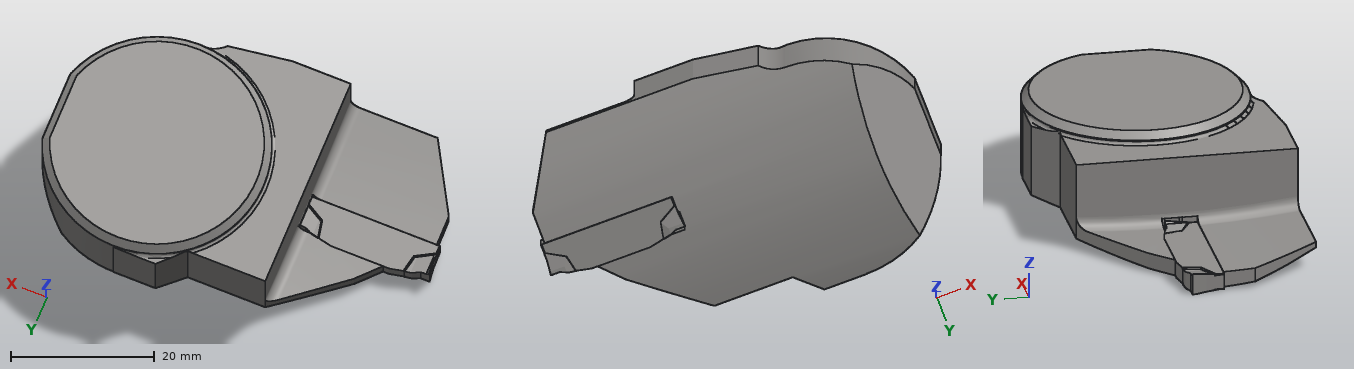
import cadquery as cq
import math


DISC_RADIUS = 16.0
DISC_FLAT_X = 15.15
DISC_CHAMFER = 1.05
DISC_TOP_Z = 13.95
COVE_RADIUS = 0.45

BLOCK_TOP_Z = 12.3
BLOCK_FRONT_X = -21.45
BLOCK_BACK_Y = 12.6
SIDE_Y = -18.8
TAB_Y = 16.05
TAB_START_X = -9.75
SIDE_TAPER_START_X = -12.7
SIDE_TAPER_END = (-3.5, -17.45)
REAR_BEVEL_HEIGHT = 7.6
UNDERSIDE_RADIUS = 67.3

BLADE_THICKNESS = 2.35
BLADE_TOP_RADIUS = 151.45
BLADE_FILLET_RADIUS = 1.55
BLADE_TIP_X = -40.15
BLADE_TIP_CORNER_Y = -9.05
BLADE_SIDE_CORNER_X = -34.5
BLADE_BACK_KINK = (-31.4, 4.45)
BLADE_BACK_END = (-34.4, 1.25)

INSERT_LENGTH = 19.95
INSERT_TIP_X = DISC_FLAT_X - 56.1
INSERT_MID_X = INSERT_TIP_X + INSERT_LENGTH / 2
INSERT_THICKNESS = BLADE_THICKNESS
INSERT_SIDE_Y = -4.55
INSERT_BACK_Y = 1.2
INSERT_BACK_HALF_LENGTH = 4.4
SHOULDER_X = -38.5
SHOULDER_Y = 0.5
NOSE_END_X = -39.6
END_FACE_X = -40.75
END_CHAMFER = 0.14

TIP_FRONT_CORNER_Y = -2.0
TIP_SIDE_CORNER_Y = -3.3
TIP_INNER_CORNER = (-38.0, -1.75)
TIP_BACK_CORNER = (-37.5, 0.75)
TIP_TOP_Z = 2.7
TIP_BOTTOM_Z = -0.35
TIP_FULL_HEIGHT_Y = -0.55
LAND_WIDTH = 0.15
RAKE_START_X = -40.45
RAKE_START_Z = 2.4
RAKE_LOW_X = -38.3
RAKE_LOW_Z = 2.15
RAKE_END_Z = 2.2
RAKE_WALL_ANGLE = 35.0
TIP_BOTTOM_FLAT_X = -38.7
TIP_BOTTOM_END_Z = -0.1

SEAT_TOP_Z = 3.3
SEAT_TIP_DEEP_Y = TIP_FRONT_CORNER_Y
SEAT_TIP_SHALLOW_Y = -2.4

CUT_MARGIN = 2.8


def holder_outline():
    """Plan outline of the block and blade; its closing line lies inside the insert seat."""
    taper_x, taper_y = SIDE_TAPER_END
    drop = -DISC_RADIUS - taper_y
    arc_radius = (taper_x**2 + drop**2) / (2 * drop)
    half_angle = math.asin(-taper_x / arc_radius) / 2
    arc_mid = (
        -arc_radius * math.sin(half_angle),
        -DISC_RADIUS - arc_radius * (1 - math.cos(half_angle)),
    )
    flat_y = math.sqrt(DISC_RADIUS**2 - DISC_FLAT_X**2)
    diagonal = DISC_RADIUS / math.sqrt(2)
    return (
        cq.Workplane("XY")
        .moveTo(BLADE_TIP_X, TIP_FRONT_CORNER_Y)
        .lineTo(BLADE_TIP_X, BLADE_TIP_CORNER_Y)
        .lineTo(BLADE_SIDE_CORNER_X, SIDE_Y)
        .lineTo(SIDE_TAPER_START_X, SIDE_Y)
        .lineTo(taper_x, taper_y)
        .threePointArc(arc_mid, (0, -DISC_RADIUS))
        .threePointArc((diagonal, -diagonal), (DISC_FLAT_X, -flat_y))
        .lineTo(DISC_FLAT_X, flat_y)
        .threePointArc((diagonal, diagonal), (0, DISC_RADIUS))
        .lineTo(0, TAB_Y)
        .lineTo(TAB_START_X + TAB_Y - BLOCK_BACK_Y, TAB_Y)
        .lineTo(TAB_START_X, BLOCK_BACK_Y)
        .lineTo(BLOCK_FRONT_X, BLOCK_BACK_Y)
        .lineTo(*BLADE_BACK_KINK)
        .lineTo(*BLADE_BACK_END)
        .close()
    )


def cylinder_along_x(start_x, end_x, radius, lowest_z):
    """Cylinder parallel to X whose lowest line is at y = 0, z = lowest_z."""
    return (
        cq.Workplane("YZ", origin=(start_x, 0, lowest_z + radius))
        .circle(radius)
        .extrude(end_x - start_x)
    )


def blade_relief():
    """Material removed in front of the block, down to the curved and filleted top of the blade."""
    start_x = INSERT_TIP_X - CUT_MARGIN
    relief = cylinder_along_x(start_x, BLOCK_FRONT_X, BLADE_TOP_RADIUS, BLADE_THICKNESS)
    return relief.faces(">X").edges().fillet(BLADE_FILLET_RADIUS)


def rear_bevel():
    """45 degree bevel under the +X end."""
    return (
        cq.Workplane("XZ", origin=(0, TAB_Y + CUT_MARGIN, 0))
        .moveTo(DISC_FLAT_X - REAR_BEVEL_HEIGHT, 0)
        .lineTo(DISC_FLAT_X, REAR_BEVEL_HEIGHT)
        .lineTo(DISC_FLAT_X, 0)
        .close()
        .extrude(TAB_Y - SIDE_Y + 2 * CUT_MARGIN)
    )


def disc_head():
    """Disc with one flat, standing on the block and chamfered all round its top edge."""
    height = DISC_TOP_Z - BLOCK_TOP_Z
    length = DISC_FLAT_X + DISC_RADIUS + CUT_MARGIN
    disc = cq.Workplane("XY", origin=(0, 0, BLOCK_TOP_Z)).circle(DISC_RADIUS).extrude(height)
    flat_side = (
        cq.Workplane("XY", origin=(DISC_FLAT_X - length / 2, 0, BLOCK_TOP_Z))
        .rect(length, 2 * (DISC_RADIUS + CUT_MARGIN))
        .extrude(height)
    )
    disc = disc.faces(">Z").edges().chamfer(DISC_CHAMFER)
    flat_side = flat_side.edges(">X and >Z").chamfer(DISC_CHAMFER)
    return disc.intersect(flat_side)


def disc_cove():
    """Concave fillet ring between the disc and the top of the block."""
    middle = COVE_RADIUS * (1 - math.sqrt(0.5))
    return (
        cq.Workplane("XZ")
        .moveTo(0, BLOCK_TOP_Z)
        .lineTo(DISC_RADIUS + COVE_RADIUS, BLOCK_TOP_Z)
        .threePointArc(
            (DISC_RADIUS + middle, BLOCK_TOP_Z + middle),
            (DISC_RADIUS, BLOCK_TOP_Z + COVE_RADIUS),
        )
        .lineTo(0, BLOCK_TOP_Z + COVE_RADIUS)
        .close()
        .revolve(360, (0, 0, 0), (0, 1, 0))
    )


def insert_outline():
    """Plan outline of the insert without its cutting tips."""
    left = [
        (INSERT_MID_X - INSERT_BACK_HALF_LENGTH, INSERT_BACK_Y),
        (SHOULDER_X, SHOULDER_Y),
        (NOSE_END_X, 0),
        (END_FACE_X, 0),
        (END_FACE_X, INSERT_SIDE_Y),
    ]
    right = [(2 * INSERT_MID_X - x, y) for x, y in reversed(left)]
    return cq.Workplane("XY").polyline(left + right).close()


def insert_seat():
    """Through opening for the insert, with headroom where it runs in under the block."""
    tip_x = INSERT_TIP_X + INSERT_LENGTH
    end_face_x = 2 * INSERT_MID_X - END_FACE_X
    profile_height = SEAT_TOP_Z - TIP_BOTTOM_Z
    under_block = (
        cq.Workplane("XY", origin=(0, 0, TIP_BOTTOM_Z))
        .moveTo(INSERT_MID_X, INSERT_SIDE_Y)
        .lineTo(end_face_x, INSERT_SIDE_Y)
        .lineTo(end_face_x, SEAT_TIP_SHALLOW_Y)
        .lineTo(tip_x, SEAT_TIP_DEEP_Y)
        .lineTo(tip_x, 0)
        .lineTo(end_face_x, SHOULDER_Y)
        .lineTo(INSERT_MID_X, SHOULDER_Y)
        .close()
        .extrude(profile_height)
    )
    blade_slot = (
        insert_outline().extrude(profile_height).translate((0, 0, TIP_BOTTOM_Z))
    )
    return under_block.union(blade_slot)


def tip_plan(start_z):
    """Plan outline of the left cutting tip, at the given height."""
    return (
        cq.Workplane("XY", origin=(0, 0, start_z))
        .moveTo(INSERT_TIP_X, 0)
        .lineTo(NOSE_END_X, 0)
        .lineTo(SHOULDER_X, SHOULDER_Y)
        .lineTo(*TIP_BACK_CORNER)
        .lineTo(*TIP_INNER_CORNER)
        .lineTo(END_FACE_X, TIP_SIDE_CORNER_Y)
        .lineTo(END_FACE_X, TIP_FRONT_CORNER_Y)
        .close()
    )


def tip_prism():
    """Vertical prism over the area of the left cutting tip."""
    return tip_plan(TIP_BOTTOM_Z).extrude(TIP_TOP_Z - TIP_BOTTOM_Z)


def tip_clearance():
    """Space for the left tip in the insert body, widening upwards into sloped walls."""
    sloped_wall = tip_plan(RAKE_LOW_Z).extrude(TIP_TOP_Z - RAKE_LOW_Z, taper=-RAKE_WALL_ANGLE)
    return tip_prism().union(sloped_wall)


def cutting_tip():
    """Left cutting tip: a raised land at the edge, then a hollow rake face."""
    width = INSERT_BACK_Y - INSERT_SIDE_Y
    side_profile = (
        cq.Workplane("XZ", origin=(0, INSERT_BACK_Y, 0))
        .moveTo(INSERT_TIP_X, TIP_BOTTOM_Z)
        .lineTo(TIP_BOTTOM_FLAT_X, TIP_BOTTOM_Z)
        .lineTo(TIP_BACK_CORNER[0], TIP_BOTTOM_END_Z)
        .lineTo(TIP_BACK_CORNER[0], RAKE_END_Z)
        .lineTo(RAKE_LOW_X, RAKE_LOW_Z)
        .lineTo(RAKE_START_X, RAKE_START_Z)
        .lineTo(INSERT_TIP_X + LAND_WIDTH, TIP_TOP_Z)
        .lineTo(INSERT_TIP_X, TIP_TOP_Z)
        .close()
        .extrude(width)
    )
    end_profile = (
        cq.Workplane("YZ", origin=(INSERT_TIP_X, 0, 0))
        .moveTo(INSERT_BACK_Y, TIP_BOTTOM_Z)
        .lineTo(TIP_FULL_HEIGHT_Y, TIP_BOTTOM_Z)
        .lineTo(TIP_SIDE_CORNER_Y, 0)
        .lineTo(TIP_SIDE_CORNER_Y, INSERT_THICKNESS)
        .lineTo(TIP_FULL_HEIGHT_Y, TIP_TOP_Z)
        .lineTo(INSERT_BACK_Y, TIP_TOP_Z)
        .close()
        .extrude(INSERT_LENGTH / 2)
    )
    return tip_prism().intersect(side_profile).intersect(end_profile)


def make_insert():
    body = insert_outline().extrude(INSERT_THICKNESS)
    body = body.faces("<X or >X").edges("|Y").chamfer(END_CHAMFER)
    mid_plane_point = (INSERT_MID_X, 0, 0)
    for mirrored in (False, True):
        clearance = tip_clearance()
        tip = cutting_tip()
        if mirrored:
            clearance = clearance.mirror("YZ", mid_plane_point)
            tip = tip.mirror("YZ", mid_plane_point)
        body = body.cut(clearance).union(tip)
    return body.solids()


def make_holder():
    block = holder_outline().extrude(BLOCK_TOP_Z)
    cove = disc_cove().intersect(holder_outline().extrude(DISC_TOP_Z))
    underside = cylinder_along_x(
        BLADE_TIP_X - CUT_MARGIN, DISC_FLAT_X + CUT_MARGIN, UNDERSIDE_RADIUS, 0
    )
    holder_body = block.cut(blade_relief()).cut(insert_seat()).intersect(underside)
    return holder_body.cut(rear_bevel()).union(cove).union(disc_head()).solids()


holder = make_holder()
insert = make_insert()
result = cq.Compound.makeCompound([holder.val(), insert.val()])